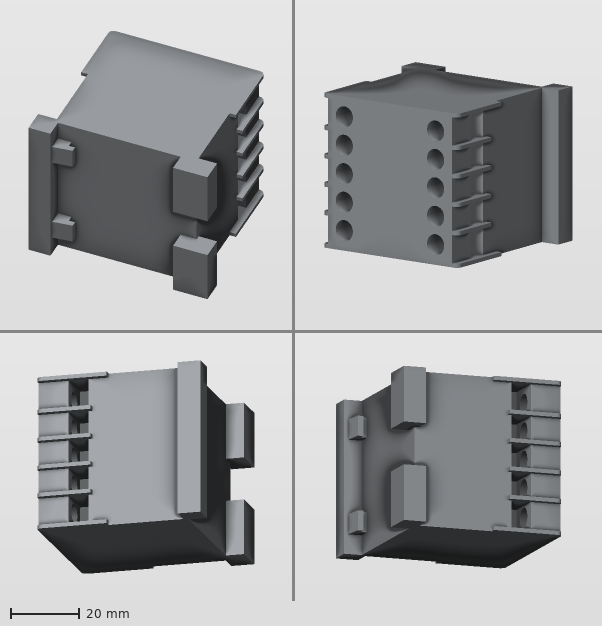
import cadquery as cq

length = 57.3
depth = 51.2
height = 46.3

housing_width = 45.4
housing_front = 5.55
housing_shift = 0.05
housing_left = housing_shift - housing_width / 2
housing_right = housing_shift + housing_width / 2

foot_depth = 7.0
long_foot_width = 7.0
short_foot_width = 11.0
short_foot_gap = 12.85

hook_reach = 6.25
hook_stem = 4.3
hook_height = 6.0
hook_spacing = 28.4
hook_lip_top = 3.7
hook_root_bottom = 1.25
hook_tip_bottom = 2.0

fin_thickness = 1.2
fin_span = 49.55
fin_radius = 1.65
fin_pitch = 8.55
inner_fin_length = 16.55
end_fin_length = 21.5
end_fin_z = (height - fin_thickness) / 2

terminal_count = 5
pocket_back = 9.3
pocket_length = 6.0
screw_inset = 6.0
screw_diameter = 6.25
pocket_depth = 2 * screw_inset


def box(x_min, x_max, y_min, y_max, z_min, z_max):
    """Box between the given limits."""
    size = (x_max - x_min, y_max - y_min, z_max - z_min)
    return cq.Workplane("XY").box(*size, centered=False).translate((x_min, y_min, z_min))


def housing():
    return box(housing_left, housing_right, housing_front, depth, -height / 2, height / 2)


def feet():
    """One full-height foot on the -X side and two short ones on the +X side."""
    x_end = length / 2
    z_end = height / 2
    z_gap = short_foot_gap / 2
    long_foot = box(-x_end, long_foot_width - x_end, 0, foot_depth, -z_end, z_end)
    upper_foot = box(x_end - short_foot_width, x_end, 0, foot_depth, z_gap, z_end)
    lower_foot = box(x_end - short_foot_width, x_end, 0, foot_depth, -z_end, -z_gap)
    return long_foot.union(upper_foot).union(lower_foot)


def hook(z_centre):
    """Stepped hook with a sloping underside, joined to the long foot and the housing."""
    root_x = long_foot_width - length / 2
    outline = [
        (root_x, housing_front),
        (root_x + hook_stem, housing_front),
        (root_x + hook_stem, hook_lip_top),
        (root_x + hook_reach, hook_lip_top),
        (root_x + hook_reach, hook_tip_bottom),
        (root_x, hook_root_bottom),
    ]
    profile = cq.Workplane("XY").workplane(offset=z_centre - hook_height / 2).polyline(outline).close()
    return profile.extrude(hook_height)


def fin(z_centre, fin_length):
    """Plate standing out of both sides of the housing, rounded at its +Y corners."""
    z_min = z_centre - fin_thickness / 2
    plate = box(-fin_span / 2, fin_span / 2, depth - fin_length, depth, z_min, z_min + fin_thickness)
    return plate.edges("|Z and >Y").fillet(fin_radius)


def terminal_cut(side, z_min, z_max, screw_z):
    """Side pocket between two fins with its screw hole; side is -1 or +1 along X."""
    wall_x = housing_shift + side * housing_width / 2
    x_limits = sorted((wall_x, wall_x - side * pocket_depth))
    y_max = depth - pocket_back
    pocket = box(*x_limits, y_max - pocket_length, y_max, z_min, z_max)
    screw_x = wall_x - side * screw_inset
    screw_hole = (
        cq.Workplane("XZ", origin=(screw_x, depth, screw_z))
        .circle(screw_diameter / 2)
        .extrude(pocket_back)
    )
    return pocket.union(screw_hole)


inner_fin_levels = [(i - (terminal_count - 2) / 2) * fin_pitch for i in range(terminal_count - 1)]
fin_levels = [-end_fin_z, *inner_fin_levels, end_fin_z]

result = housing().union(feet())

for direction in (-1, 1):
    result = result.union(hook(direction * hook_spacing / 2))

for i in range(terminal_count):
    pocket_bottom = fin_levels[i] + fin_thickness / 2
    pocket_top = fin_levels[i + 1] - fin_thickness / 2
    screw_level = (i - (terminal_count - 1) / 2) * fin_pitch
    for side in (-1, 1):
        result = result.cut(terminal_cut(side, pocket_bottom, pocket_top, screw_level))

for level in inner_fin_levels:
    result = result.union(fin(level, inner_fin_length))
for level in (-end_fin_z, end_fin_z):
    result = result.union(fin(level, end_fin_length))